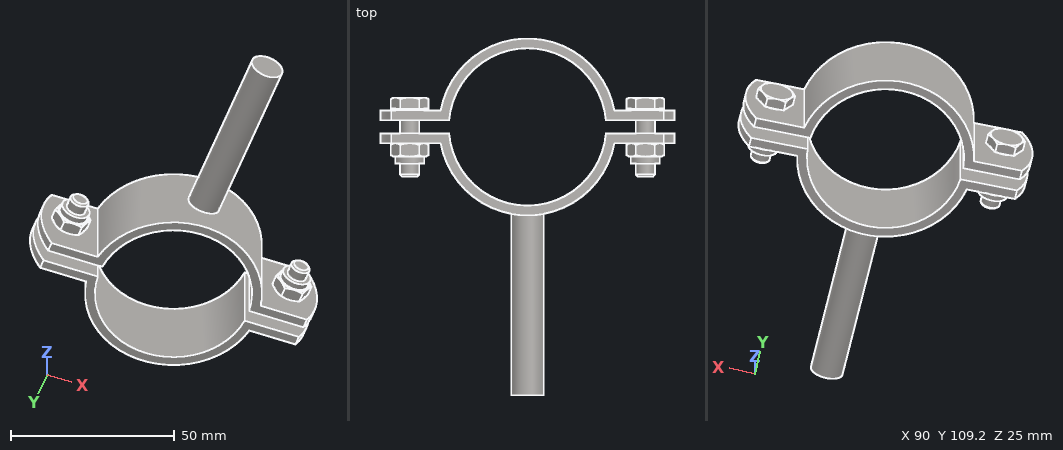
import cadquery as cq
import math

ring_inner_radius = 24.0
wall = 3.1
ring_outer_radius = ring_inner_radius + wall
clamp_height = 25.0
half_gap = 2.0
ear_outer_face = half_gap + wall
clamp_length = 90.0
ear_tip_x = clamp_length / 2
ear_tip_bulge = 3.4
ear_corner_x = ear_tip_x - ear_tip_bulge

rod_diameter = 10.0
total_depth = 109.2
rod_end_y = ring_outer_radius - total_depth

bolt_x = 36.0
bolt_diameter = 6.0
bolt_hole_diameter = 6.5
bolt_end_y = -15.2
bolt_tip_chamfer = 0.7
hex_across_flats = 10.0
hex_across_corners = hex_across_flats / math.cos(math.radians(30))
hex_chamfer_angle = 30.0
washer_face_diameter = 8.7
washer_face_thickness = 0.5
head_height = 3.4
nut_hex_height = 4.0
nut_collar_diameter = 9.0
nut_collar_height = 2.2


def cylinder_y(diameter, start_y, end_y):
    """Cylinder on the Y axis between two Y positions, with start_y above end_y."""
    plane = cq.Workplane("XZ", origin=(0, start_y, 0))
    return plane.circle(diameter / 2).extrude(start_y - end_y)


def chamfered_hex(start_y, height, chamfer_both_ends):
    """Hexagon running toward -Y, its corners turned down by a cone at one or both ends."""
    end_y = start_y - height
    prism = cq.Workplane("XZ", origin=(0, start_y, 0)).polygon(6, hex_across_corners).extrude(height)
    face_radius = hex_across_flats / 2
    corner_radius = hex_across_corners / 2
    drop = (corner_radius - face_radius) * math.tan(math.radians(hex_chamfer_angle))
    profile = cq.Workplane("XY").moveTo(0, start_y).lineTo(face_radius, start_y)
    profile = profile.lineTo(corner_radius, start_y - drop)
    if chamfer_both_ends:
        profile = profile.lineTo(corner_radius, end_y + drop).lineTo(face_radius, end_y)
    else:
        profile = profile.lineTo(corner_radius, end_y)
    envelope = profile.lineTo(0, end_y).close().revolve(360, (0, 0, 0), (0, 1, 0))
    return prism.intersect(envelope)


def make_clamp_half():
    """Clamp half on the +Y side."""
    inner_x = math.sqrt(ring_inner_radius**2 - half_gap**2)
    outer_x = math.sqrt(ring_outer_radius**2 - ear_outer_face**2)
    band = (
        cq.Workplane("XY", origin=(0, 0, -clamp_height / 2))
        .moveTo(inner_x, half_gap)
        .lineTo(ear_tip_x, half_gap)
        .lineTo(ear_tip_x, ear_outer_face)
        .lineTo(outer_x, ear_outer_face)
        .threePointArc((0, ring_outer_radius), (-outer_x, ear_outer_face))
        .lineTo(-ear_tip_x, ear_outer_face)
        .lineTo(-ear_tip_x, half_gap)
        .lineTo(-inner_x, half_gap)
        .threePointArc((0, ring_inner_radius), (inner_x, half_gap))
        .close()
        .extrude(clamp_height)
    )
    half_height = clamp_height / 2
    rounded_outline = (
        cq.Workplane("XZ", origin=(0, ring_outer_radius, 0))
        .moveTo(-ear_corner_x, -half_height)
        .lineTo(ear_corner_x, -half_height)
        .threePointArc((ear_tip_x, 0), (ear_corner_x, half_height))
        .lineTo(-ear_corner_x, half_height)
        .threePointArc((-ear_tip_x, 0), (-ear_corner_x, -half_height))
        .close()
        .extrude(ring_outer_radius)
    )
    clamp = band.intersect(rounded_outline)
    for x in (-bolt_x, bolt_x):
        hole = cylinder_y(bolt_hole_diameter, ear_outer_face, half_gap)
        clamp = clamp.cut(hole.translate((x, 0, 0)))
    return clamp


def make_clamp_half_with_rod():
    """Clamp half on the -Y side; the rod is rooted in the middle of the ring wall."""
    clamp = make_clamp_half().mirror("XZ")
    rod_root_y = -(ring_inner_radius + wall / 2)
    return clamp.union(cylinder_y(rod_diameter, rod_root_y, rod_end_y))


def make_bolt(x):
    """Hex bolt with a washer face seated on the rear ear."""
    head_base_y = ear_outer_face + washer_face_thickness
    shank = cylinder_y(bolt_diameter, head_base_y, bolt_end_y).faces("<Y").chamfer(bolt_tip_chamfer)
    washer_face = cylinder_y(washer_face_diameter, head_base_y, ear_outer_face)
    head = chamfered_hex(head_base_y + head_height, head_height, chamfer_both_ends=False)
    return head.union(washer_face).union(shank).translate((x, 0, 0))


def make_nut(x):
    """Collared hex nut seated on the front ear and fitting the bolt shank."""
    collar_start_y = -ear_outer_face - nut_hex_height
    collar_end_y = collar_start_y - nut_collar_height
    nut = chamfered_hex(-ear_outer_face, nut_hex_height, chamfer_both_ends=True)
    nut = nut.union(cylinder_y(nut_collar_diameter, collar_start_y, collar_end_y))
    nut = nut.cut(cylinder_y(bolt_diameter, -ear_outer_face, collar_end_y))
    return nut.translate((x, 0, 0))


rear_clamp = make_clamp_half()
front_clamp = make_clamp_half_with_rod()
bolts = [make_bolt(x) for x in (-bolt_x, bolt_x)]
nuts = [make_nut(x) for x in (-bolt_x, bolt_x)]

result = cq.Compound.makeCompound(
    [rear_clamp.val(), front_clamp.val()]
    + [bolt.val() for bolt in bolts]
    + [nut.val() for nut in nuts]
)